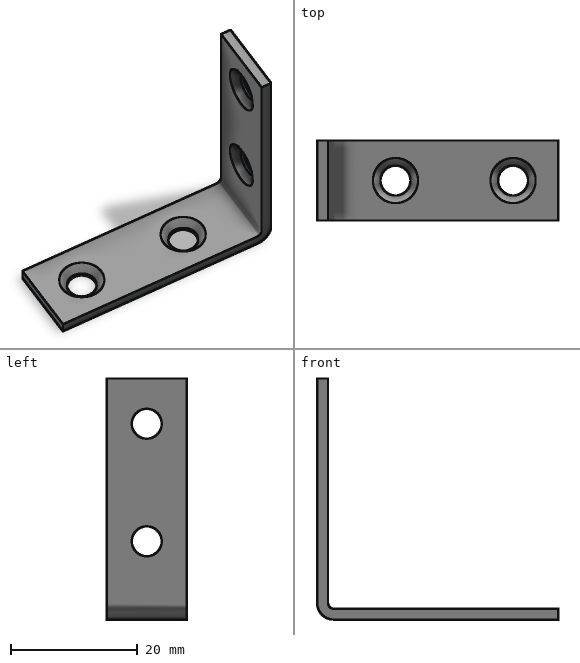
import cadquery as cq

leg_length = 38.1
width = 12.7
thickness = 1.75
inner_bend_radius = 0.9
outer_bend_radius = inner_bend_radius + thickness

hole_diameter = 4.7
countersink_diameter = 7.12
countersink_angle = 90.0
end_hole_distance = 7.15
hole_pitch = 18.55

outer_hole_position = leg_length - end_hole_distance
hole_positions = (outer_hole_position - hole_pitch, outer_hole_position)


def bent_strip():
    """L-shaped strip centred on Y, with its outer corner at the origin."""
    profile = (
        cq.Workplane("XZ")
        .moveTo(0, leg_length)
        .lineTo(0, outer_bend_radius)
        .radiusArc((outer_bend_radius, 0), -outer_bend_radius)
        .lineTo(leg_length, 0)
        .lineTo(leg_length, thickness)
        .lineTo(outer_bend_radius, thickness)
        .radiusArc((thickness, outer_bend_radius), inner_bend_radius)
        .lineTo(thickness, leg_length)
        .close()
    )
    return profile.extrude(width / 2, both=True)


def drill_leg(body, inner_face):
    """Drill countersunk holes through one leg, starting on its inner face."""
    return (
        body.copyWorkplane(inner_face)
        .pushPoints([(position, 0) for position in hole_positions])
        .cskHole(hole_diameter, countersink_diameter, countersink_angle)
    )


base_face = cq.Workplane(cq.Plane(origin=(0, 0, thickness), xDir=(1, 0, 0), normal=(0, 0, 1)))
wall_face = cq.Workplane(cq.Plane(origin=(thickness, 0, 0), xDir=(0, 0, 1), normal=(1, 0, 0)))

result = bent_strip()
for face in (base_face, wall_face):
    result = drill_leg(result, face)